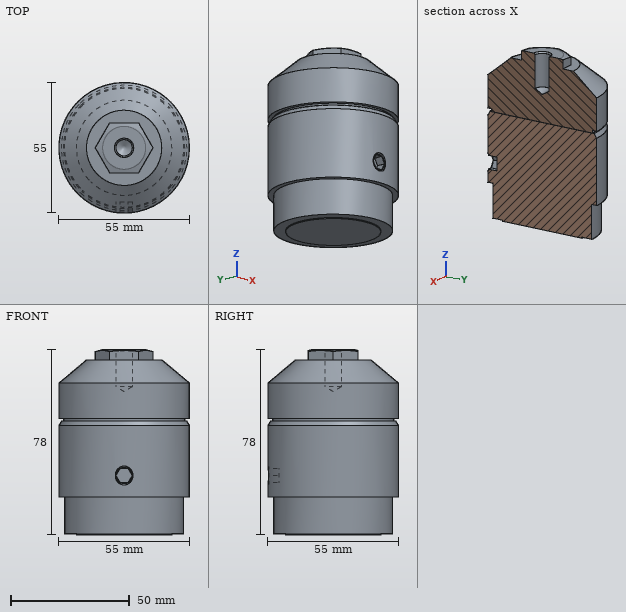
import cadquery as cq
import math

total_height = 78.0
foot_height = 0.5
shoulder_height = 16.0
bevel_base_height = 46.0
joint_height = 48.0
rim_height = 49.0
cone_base_height = 63.95
cone_top_height = 73.7

outer_radius = 55.0 / 2
foot_radius = 20.05
base_radius = 25.0
neck_radius = 25.5
cone_top_radius = 15.8

bevel_angle = 30.0
bevel_width = (joint_height - bevel_base_height) * math.tan(math.radians(bevel_angle))

boss_flats = 21.05
boss_corner_radius = boss_flats / math.sqrt(3)
boss_face_radius = 9.05
boss_bevel_angle = 15.0

bore_radius = 3.4
bore_mouth_radius = 4.05
bore_depth = 15.6
drill_point_angle = 118.0

socket_flats = 5.9
socket_corner_radius = socket_flats / math.sqrt(3)
socket_mouth_radius = 4.0
socket_depth = 4.7
socket_height = 25.0


def revolve_profile(points):
    """Turn a closed (radius, height) outline about the Z axis."""
    return cq.Workplane("XZ").polyline(points).close().revolve(360, (0, 0), (0, 1))


def make_socket_cutter():
    """Hexagonal recess entered from -Y, with a 45 degree conical mouth."""
    surface = cq.Workplane("XZ", origin=(0, -outer_radius, socket_height))
    recess = surface.polygon(6, 2 * socket_corner_radius).extrude(-socket_depth)
    mouth = cq.Workplane(
        cq.Solid.makeCone(
            socket_mouth_radius, 0, socket_mouth_radius,
            cq.Vector(0, -outer_radius, socket_height), cq.Vector(0, 1, 0),
        )
    )
    mouth_depth = socket_mouth_radius - socket_corner_radius
    mouth_limit = surface.circle(socket_mouth_radius).extrude(-mouth_depth)
    return recess.union(mouth.intersect(mouth_limit))


def make_housing():
    """Stepped lower body with a bevelled upper edge and a side socket."""
    body = revolve_profile([
        (0, 0),
        (foot_radius, 0),
        (foot_radius, foot_height),
        (base_radius, foot_height),
        (base_radius, shoulder_height),
        (outer_radius, shoulder_height),
        (outer_radius, bevel_base_height),
        (outer_radius - bevel_width, joint_height),
        (0, joint_height),
    ])
    return body.cut(make_socket_cutter())


def make_boss():
    """Hexagonal boss whose upper corners are bevelled by a shallow cone."""
    boss_height = total_height - cone_top_height
    prism = (
        cq.Workplane("XY", origin=(0, 0, cone_top_height))
        .polygon(6, 2 * boss_corner_radius)
        .extrude(boss_height)
    )
    corner_drop = (boss_corner_radius - boss_face_radius) * math.tan(math.radians(boss_bevel_angle))
    envelope = revolve_profile([
        (0, cone_top_height),
        (boss_corner_radius, cone_top_height),
        (boss_corner_radius, total_height - corner_drop),
        (boss_face_radius, total_height),
        (0, total_height),
    ])
    return prism.intersect(envelope)


def make_bore_cutter():
    """Blind hole with a 45 degree chamfered mouth and a drill-point bottom."""
    bore_floor = total_height - bore_depth
    point_length = bore_radius / math.tan(math.radians(drill_point_angle / 2))
    return revolve_profile([
        (0, bore_floor - point_length),
        (bore_radius, bore_floor),
        (bore_radius, total_height - (bore_mouth_radius - bore_radius)),
        (bore_mouth_radius, total_height),
        (0, total_height),
    ])


def make_cap():
    """Conical cap standing on a narrow neck, with a drilled hexagonal boss."""
    body = revolve_profile([
        (0, joint_height),
        (neck_radius, joint_height),
        (neck_radius, rim_height),
        (outer_radius, rim_height),
        (outer_radius, cone_base_height),
        (cone_top_radius, cone_top_height),
        (0, cone_top_height),
    ])
    return body.union(make_boss()).cut(make_bore_cutter())


housing = make_housing()
cap = make_cap()

result = cq.Compound.makeCompound([housing.val(), cap.val()])